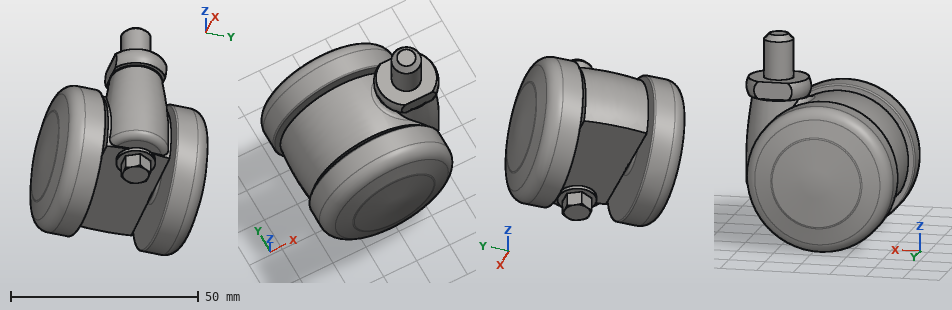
import cadquery as cq
import math


wheel_radius = 20.0
wheel_inner_y = 10.0
inner_edge_fillet = 0.4
tread_outer_y = 15.75
shoulder_radius = 17.15
shoulder_y = 19.5
shoulder_mid_radius = 19.2
shoulder_mid_y = 18.1
cap_recess_radius = 12.5
cap_recess_y = 20.7
cap_radius = 12.1
cap_edge_y = 20.8
overall_width = 44.0
cap_apex_y = overall_width / 2
hub_radius = 6.55
hub_fillet = 0.7

barrel_half_width = 8.8
barrel_end_radius = 18.5
barrel_mid_radius = 19.05
barrel_bottom_z = -7.0
stem_x = 15.0
column_radius = 8.7
column_top_radius = 7.1
column_top_z = 18.55
column_waist_radius = 8.55
column_waist_z = 6.65
column_top_slope = 0.15
column_bottom_z = -6.7
column_bottom_fillet = 1.95
neck_radius = 5.55
neck_fillet = 2.0

stem_top_z = 35.5
stud_radius = 4.0
stud_chamfer = 1.5
collar_top_z = 23.6
collar_bottom_z = 18.85
collar_end_radius = 8.1
collar_mid_radius = column_radius
collar_across_flats = 14.0
shoulder_disc_radius = column_top_radius
shank_radius = 3.0
washer_radius = 5.2
washer_top_z = -8.05
washer_bottom_z = -9.05
hex_across_flats = 7.0
hex_bottom_z = -13.15
hex_corner_chamfer = 0.5
hex_chamfer_height = 0.3


def stem_cylinder(radius, bottom_z, top_z):
    """Cylinder on the stem axis between two heights."""
    base = cq.Workplane("XY").center(stem_x, 0).workplane(offset=bottom_z)
    return base.circle(radius).extrude(top_z - bottom_z)


def stem_revolve(profile):
    """Solid from a closed (radius, z) profile turned about the stem axis."""
    return profile.close().revolve(360, (0, 0, 0), (0, 1, 0)).translate((stem_x, 0, 0))


def make_wheel(side):
    """Wheel with a domed outer face and a hub that meets the housing; side is +1 or -1 along Y."""
    profile = (
        cq.Workplane("XY")
        .moveTo(0, barrel_half_width)
        .lineTo(hub_radius, barrel_half_width)
        .lineTo(hub_radius, wheel_inner_y - hub_fillet)
        .radiusArc((hub_radius + hub_fillet, wheel_inner_y), hub_fillet)
        .lineTo(wheel_radius - inner_edge_fillet, wheel_inner_y)
        .radiusArc((wheel_radius, wheel_inner_y + inner_edge_fillet), -inner_edge_fillet)
        .lineTo(wheel_radius, tread_outer_y)
        .threePointArc((shoulder_mid_radius, shoulder_mid_y), (shoulder_radius, shoulder_y))
        .lineTo(cap_recess_radius, cap_recess_y)
        .lineTo(cap_radius, cap_edge_y)
        .lineTo(0, cap_apex_y)
        .close()
    )
    wheel = profile.revolve(360, (0, 0, 0), (0, 1, 0))
    return wheel if side > 0 else wheel.mirror("XZ")


def make_barrel():
    """Crowned barrel around the axle, cut flat underneath."""
    barrel = (
        cq.Workplane("XY")
        .moveTo(0, -barrel_half_width)
        .lineTo(barrel_end_radius, -barrel_half_width)
        .threePointArc((barrel_mid_radius, 0), (barrel_end_radius, barrel_half_width))
        .lineTo(0, barrel_half_width)
        .close()
        .revolve(360, (0, 0, 0), (0, 1, 0))
    )
    cutter_width = 3 * barrel_mid_radius
    below_bottom = (
        cq.Workplane("XY")
        .workplane(offset=barrel_bottom_z)
        .rect(cutter_width, cutter_width)
        .extrude(-cutter_width)
    )
    return barrel.cut(below_bottom)


def make_column():
    """Upright column around the stem, with a curved taper to its top and a rounded lower rim."""
    side_points = [(column_waist_radius, column_waist_z), (column_top_radius, column_top_z)]
    side_tangents = [(0, 1), (-column_top_slope, 1)]
    return stem_revolve(
        cq.Workplane("XZ")
        .moveTo(0, column_bottom_z)
        .lineTo(column_radius - column_bottom_fillet, column_bottom_z)
        .radiusArc((column_radius, column_bottom_z + column_bottom_fillet), -column_bottom_fillet)
        .spline(side_points, tangents=side_tangents, includeCurrent=True)
        .lineTo(0, column_top_z)
    )


def add_neck(barrel):
    """Barrel with a filleted neck that blends it into the -X side of the column.

    The neck is a narrower cylinder that lines up with the -X side of the column's top rim. Its root
    fillet stands out there and runs into the wider column on both sides.
    """
    rim_x = stem_x - column_top_radius
    neck_x = rim_x + neck_radius
    raw_top_z = column_top_z + 2 * neck_fillet
    neck = cq.Workplane("XY").center(neck_x, 0).circle(neck_radius).extrude(raw_top_z)
    blended = barrel.union(neck)
    root_edges = blended.edges(
        cq.selectors.BoxSelector(
            (rim_x, -neck_radius, 0),
            (neck_x + neck_radius, neck_radius, column_top_z),
        )
    )
    blended = root_edges.fillet(neck_fillet)
    trim_radius = neck_radius + neck_fillet
    trim = (
        cq.Workplane("XY")
        .center(neck_x, 0)
        .workplane(offset=column_top_z)
        .circle(trim_radius)
        .extrude(raw_top_z - column_top_z)
    )
    return blended.cut(trim)


def make_housing():
    """Barrel, neck and column in one piece, bored through for the stem."""
    housing = add_neck(make_barrel()).union(make_column())
    shank_bore = stem_cylinder(shank_radius, barrel_bottom_z, column_top_z)
    return housing.cut(shank_bore)


def make_collar():
    """Collar with a bulged rim and two wrench flats facing +Y and -Y."""
    collar = stem_revolve(
        cq.Workplane("XZ")
        .moveTo(0, collar_bottom_z)
        .lineTo(collar_end_radius, collar_bottom_z)
        .threePointArc(
            (collar_mid_radius, (collar_bottom_z + collar_top_z) / 2),
            (collar_end_radius, collar_top_z),
        )
        .lineTo(0, collar_top_z)
    )
    flats = (
        cq.Workplane("XY")
        .center(stem_x, 0)
        .workplane(offset=collar_bottom_z)
        .rect(3 * collar_mid_radius, collar_across_flats)
        .extrude(collar_top_z - collar_bottom_z)
    )
    return collar.intersect(flats)


def make_hex_end():
    """Hexagon with corners toward +X and -X, its lower corners chamfered."""
    corner_radius = hex_across_flats / math.sqrt(3)
    hexagon = (
        cq.Workplane("XY")
        .center(stem_x, 0)
        .workplane(offset=hex_bottom_z)
        .polygon(6, 2 * corner_radius)
        .extrude(washer_bottom_z - hex_bottom_z)
    )
    chamfer_envelope = stem_revolve(
        cq.Workplane("XZ")
        .moveTo(0, hex_bottom_z)
        .lineTo(corner_radius - hex_corner_chamfer, hex_bottom_z)
        .lineTo(corner_radius, hex_bottom_z + hex_chamfer_height)
        .lineTo(corner_radius, washer_bottom_z)
        .lineTo(0, washer_bottom_z)
    )
    return hexagon.intersect(chamfer_envelope)


def make_stem():
    """Stud, collar, shank through the housing, washer and hexagon in one piece."""
    stud = stem_cylinder(stud_radius, collar_top_z, stem_top_z).faces(">Z").chamfer(stud_chamfer)
    shoulder_disc = stem_cylinder(shoulder_disc_radius, column_top_z, collar_bottom_z)
    shank = stem_cylinder(shank_radius, washer_top_z, column_top_z)
    washer = stem_cylinder(washer_radius, washer_bottom_z, washer_top_z)
    stem = stud.union(make_collar()).union(shoulder_disc)
    return stem.union(shank).union(washer).union(make_hex_end())


housing = make_housing().solids()
stem = make_stem().solids()
wheels = [make_wheel(side) for side in (-1, 1)]

result = cq.Compound.makeCompound([housing.val(), stem.val(), *[wheel.val() for wheel in wheels]])